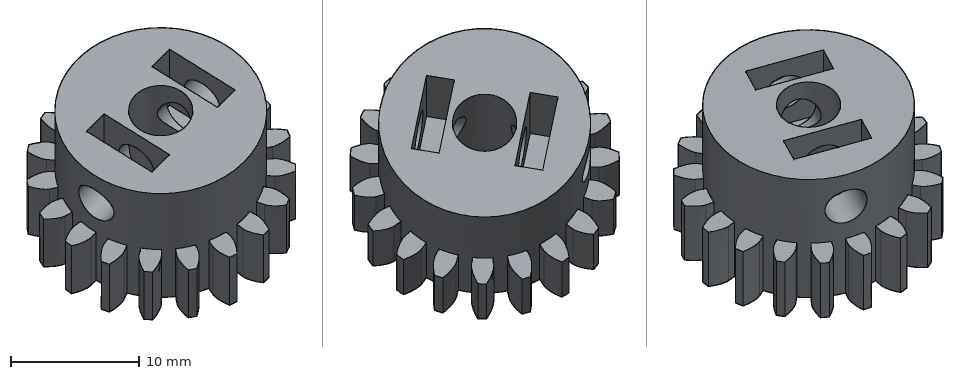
import cadquery as cq
import math

TOOTH_COUNT = 19
TIP_DIAMETER = 21.0
PRESSURE_ANGLE = math.radians(20)
DEDENDUM_IN_MODULES = 1.25
GEAR_HEIGHT = 6.0

module = TIP_DIAMETER / (TOOTH_COUNT + 2)
pitch_radius = module * TOOTH_COUNT / 2
tip_radius = TIP_DIAMETER / 2
base_radius = pitch_radius * math.cos(PRESSURE_ANGLE)
root_radius = pitch_radius - DEDENDUM_IN_MODULES * module

TOTAL_HEIGHT = 13.0
BORE_DIAMETER = 5.0
hub_height = TOTAL_HEIGHT - GEAR_HEIGHT

SCREW_HOLE_DIAMETER = 3.5
SLOT_LENGTH = 6.5
SLOT_WIDTH = 2.2
SLOT_INNER_OFFSET = 3.0
screw_hole_z = GEAR_HEIGHT + hub_height / 2
slot_centre_offset = SLOT_INNER_OFFSET + SLOT_WIDTH / 2
slot_depth = hub_height

FLANK_STEPS = 6
ROOT_OVERLAP = 0.2


def polar(radius, angle):
    return (radius * math.cos(angle), radius * math.sin(angle))


def involute_angle(pressure_angle):
    return math.tan(pressure_angle) - pressure_angle


def half_tooth_angle(radius):
    """Half the angle a tooth spans at a radius on its involute flank."""
    half_angle_at_pitch = math.pi / (2 * TOOTH_COUNT)
    local_pressure_angle = math.acos(min(1.0, base_radius / radius))
    return half_angle_at_pitch + involute_angle(PRESSURE_ANGLE) - involute_angle(local_pressure_angle)


def make_tooth():
    """Tooth on +X: radial below the base circle, involute above it, rounded at the tip circle."""
    radii = [
        base_radius + (tip_radius - base_radius) * (step / FLANK_STEPS) ** 2
        for step in range(FLANK_STEPS + 1)
    ]
    lower_flank = [polar(r, -half_tooth_angle(r)) for r in radii]
    upper_flank = [polar(r, half_tooth_angle(r)) for r in reversed(radii)]
    inner_radius = root_radius - ROOT_OVERLAP
    base_angle = half_tooth_angle(base_radius)
    return (
        cq.Workplane("XY")
        .moveTo(*polar(inner_radius, -base_angle))
        .lineTo(*lower_flank[0])
        .spline(lower_flank[1:], includeCurrent=True)
        .threePointArc((tip_radius, 0), upper_flank[0])
        .spline(upper_flank[1:], includeCurrent=True)
        .lineTo(*polar(inner_radius, base_angle))
        .close()
        .extrude(GEAR_HEIGHT)
    )


def make_body():
    body = cq.Workplane("XY").circle(root_radius).extrude(TOTAL_HEIGHT)
    tooth = make_tooth()
    for index in range(TOOTH_COUNT):
        body = body.union(tooth.rotate((0, 0, 0), (0, 0, 1), index * 360 / TOOTH_COUNT))
    return body


def make_bore():
    return cq.Workplane("XY").circle(BORE_DIAMETER / 2).extrude(TOTAL_HEIGHT)


def make_screw_hole():
    return (
        cq.Workplane("XZ")
        .center(0, screw_hole_z)
        .circle(SCREW_HOLE_DIAMETER / 2)
        .extrude(tip_radius, both=True)
    )


def make_nut_slots():
    """One slot on each side of the bore, open at the top of the hub."""
    return (
        cq.Workplane("XY")
        .workplane(offset=TOTAL_HEIGHT)
        .pushPoints([(0, slot_centre_offset), (0, -slot_centre_offset)])
        .rect(SLOT_LENGTH, SLOT_WIDTH)
        .extrude(-slot_depth)
    )


result = make_body().cut(make_bore()).cut(make_screw_hole()).cut(make_nut_slots())